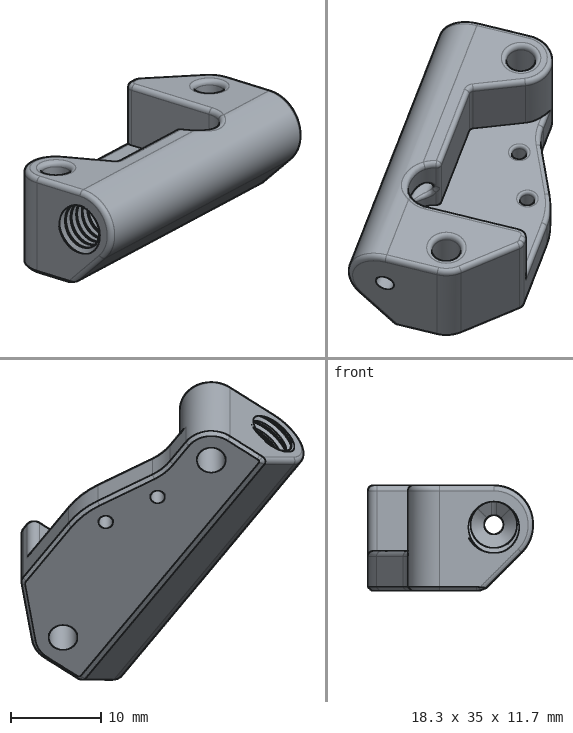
import cadquery as cq
import math

DIAGONAL = math.sqrt(0.5)

LENGTH = 35.0
HEIGHT = 11.7
BARREL_RADIUS = 4.38
BARREL_X = 13.95
BARREL_Z = HEIGHT - BARREL_RADIUS
RIGHT_X = BARREL_X + BARREL_RADIUS
BEVEL_TOP_X = BARREL_X + BARREL_RADIUS * DIAGONAL
BEVEL_TOP_Z = BARREL_Z - BARREL_RADIUS * DIAGONAL
BEVEL_FOOT_X = BEVEL_TOP_X - BEVEL_TOP_Z

EDGE_FILLET = 0.6
BOTTOM_CHAMFER = 0.42

MOUNT_DIAMETER = 3.2
BOSS_RADIUS = 3.5
MOUNT_X = 7.95
FRONT_MOUNT_Y = BOSS_RADIUS
REAR_MOUNT_Y = LENGTH - BOSS_RADIUS
BOSS_LEFT_X = MOUNT_X - BOSS_RADIUS

CORNER_RADIUS = 1.0
CUT_TOP_X = MOUNT_X - BOSS_RADIUS * DIAGONAL
CUT_TOP_Y = REAR_MOUNT_Y + BOSS_RADIUS * DIAGONAL
CUT_FOOT_Y = CUT_TOP_Y - CUT_TOP_X

FLOOR_Z = 4.4
SLANT_ANGLE = math.radians(25)
SLANT_REAR_Y = 17.32
SLANT_FRONT_Y = SLANT_REAR_Y - BOSS_LEFT_X / math.tan(SLANT_ANGLE)
SLANT_REAR_RADIUS = 10.0
SLANT_FRONT_RADIUS = 6.0

POCKET_WALL_X = 12.05
POCKET_CORNER_RADIUS = 0.5
COVE_RADIUS = 2.9
COVE_X = 11.8
COVE_Y = 23.5
COVE_FRONT_Y = COVE_Y - math.sqrt(COVE_RADIUS**2 - (POCKET_WALL_X - COVE_X) ** 2)
POCKET_REAR_Y = COVE_Y + COVE_RADIUS
SLOPE_START_X = MOUNT_X - BOSS_RADIUS * math.sin(SLANT_ANGLE)
SLOPE_START_Y = FRONT_MOUNT_Y + BOSS_RADIUS * math.cos(SLANT_ANGLE)
SLOPE_END_Y = SLOPE_START_Y + (POCKET_WALL_X - SLOPE_START_X) * math.tan(SLANT_ANGLE)

SCREW_DIAMETER = 1.6
SCREW_FILLET = 0.4
REAR_SCREW_X = 3.1
REAR_SCREW_Y = 16.75
SCREW_SPACING = 6.58
FRONT_SCREW_X = REAR_SCREW_X + SCREW_SPACING * math.sin(SLANT_ANGLE)
FRONT_SCREW_Y = REAR_SCREW_Y - SCREW_SPACING * math.cos(SLANT_ANGLE)

BORE_DIAMETER = 2.1
BREAKOUT_FILLET = 0.42
THREAD_MINOR_RADIUS = 5.15 / 2
THREAD_MAJOR_RADIUS = 6.25 / 2
THREAD_PITCH = 1.0
THREAD_DEPTH = 7.0
THREAD_START_ANGLE = 90
ROOF_RIDGE_RADIUS = 0.6
ROOF_END_SCALE = 0.3

SLACK = 0.07


def edge_box(low, high, whole=False):
    """Pick edges centred in a box, or with whole=True those lying wholly inside it."""
    low = tuple(value - SLACK for value in low)
    high = tuple(value + SLACK for value in high)
    return cq.selectors.BoxSelector(low, high, boundingbox=whole)


def round_upright(solid, x, y, radius):
    """Round the upright edge that stands at (x, y)."""
    return solid.edges("|Z").edges(edge_box((x, y, 0), (x, y, HEIGHT))).fillet(radius)


def barrel_profile():
    """Cross section of the block, run along its full length."""
    return (
        cq.Workplane("XZ")
        .lineTo(BEVEL_FOOT_X, 0)
        .lineTo(BEVEL_TOP_X, BEVEL_TOP_Z)
        .threePointArc((RIGHT_X, BARREL_Z), (BARREL_X, HEIGHT))
        .lineTo(0, HEIGHT)
        .close()
        .extrude(-LENGTH)
    )


def close_around_rear(outline):
    """Take an outline from the left edge past the rear corner and right side to its start."""
    middle = math.radians(22.5)
    arc_middle = (
        MOUNT_X - BOSS_RADIUS * math.sin(middle),
        REAR_MOUNT_Y + BOSS_RADIUS * math.cos(middle),
    )
    return (
        outline.lineTo(0, CUT_FOOT_Y)
        .lineTo(CUT_TOP_X, CUT_TOP_Y)
        .threePointArc(arc_middle, (MOUNT_X, LENGTH))
        .lineTo(RIGHT_X, LENGTH)
        .lineTo(RIGHT_X, 0)
        .close()
    )


def floor_plate():
    """Low plate under the whole part, rounded along its upper left edge."""
    outline = (
        cq.Workplane("XY")
        .moveTo(MOUNT_X, 0)
        .threePointArc((CUT_TOP_X, FRONT_MOUNT_Y - BOSS_RADIUS * DIAGONAL), (BOSS_LEFT_X, FRONT_MOUNT_Y))
        .lineTo(BOSS_LEFT_X, SLANT_FRONT_Y)
        .lineTo(0, SLANT_REAR_Y)
    )
    plate = close_around_rear(outline).extrude(FLOOR_Z)
    plate = round_upright(plate, 0, SLANT_REAR_Y, SLANT_REAR_RADIUS)
    plate = round_upright(plate, BOSS_LEFT_X, SLANT_FRONT_Y, SLANT_FRONT_RADIUS)
    plate = round_upright(plate, 0, CUT_FOOT_Y, CORNER_RADIUS)
    left_rim = edge_box((0, FRONT_MOUNT_Y, FLOOR_Z), (BOSS_LEFT_X, POCKET_REAR_Y, FLOOR_Z))
    return plate.edges(left_rim).fillet(EDGE_FILLET)


def pocket_walls():
    """Full-height block that wraps around the pocket."""
    outline = (
        cq.Workplane("XY")
        .moveTo(MOUNT_X, 0)
        .threePointArc((BOSS_LEFT_X, FRONT_MOUNT_Y), (SLOPE_START_X, SLOPE_START_Y))
        .lineTo(POCKET_WALL_X, SLOPE_END_Y)
        .lineTo(POCKET_WALL_X, COVE_FRONT_Y)
        .threePointArc((COVE_X + COVE_RADIUS, COVE_Y), (COVE_X, POCKET_REAR_Y))
        .lineTo(0, POCKET_REAR_Y)
    )
    walls = close_around_rear(outline).extrude(HEIGHT)
    walls = round_upright(walls, POCKET_WALL_X, SLOPE_END_Y, POCKET_CORNER_RADIUS)
    walls = round_upright(walls, POCKET_WALL_X, COVE_FRONT_Y, EDGE_FILLET)
    walls = round_upright(walls, 0, POCKET_REAR_Y, CORNER_RADIUS)
    return round_upright(walls, 0, CUT_FOOT_Y, CORNER_RADIUS)


def body():
    """Plate and walls joined, rounded along the top and both ends, chamfered underneath."""
    profile = barrel_profile()
    block = pocket_walls().intersect(profile).union(floor_plate().intersect(profile)).clean()

    top = edge_box((0, 0, HEIGHT), (RIGHT_X, LENGTH, HEIGHT))
    cove_rim = edge_box((BARREL_X, COVE_Y, HEIGHT - 0.35), (RIGHT_X, COVE_Y, HEIGHT))
    barrel_seam = edge_box((BARREL_X, 0, HEIGHT), (BARREL_X, LENGTH, HEIGHT), whole=True)
    block = block.edges(top + cove_rim - barrel_seam).fillet(EDGE_FILLET)

    bottom = edge_box((0, 0, 0), (BEVEL_FOOT_X - 0.35, LENGTH, 0))
    return block.edges(bottom).chamfer(BOTTOM_CHAMFER)


def drill(block, centers, diameter, mouth_z, mouth_fillet):
    """Upright through holes with mouths rounded over at height mouth_z."""
    block = block.cut(cq.Workplane("XY").pushPoints(centers).circle(diameter / 2).extrude(HEIGHT))
    for x, y in centers:
        mouth = edge_box((x, y, mouth_z), (x, y, mouth_z))
        block = block.edges("%CIRCLE").edges(mouth).fillet(mouth_fillet)
    return block


def bore_plane(y):
    """Work plane square to the bore, centred on it at y and facing the rear; its y axis points down."""
    return cq.Workplane(cq.Plane((BARREL_X, y, BARREL_Z), (1, 0, 0), (0, 1, 0)))


def cut_bore(block):
    """Bore along the whole barrel; where it breaks into the cove its edge is rounded."""
    block = block.cut(bore_plane(0).circle(BORE_DIAMETER / 2).extrude(LENGTH))
    breakout = edge_box(
        (BARREL_X - BORE_DIAMETER / 2, COVE_Y - COVE_RADIUS, BARREL_Z - BORE_DIAMETER / 2),
        (BARREL_X + BORE_DIAMETER / 2, COVE_Y + COVE_RADIUS, BARREL_Z + BORE_DIAMETER / 2),
        whole=True,
    )
    return block.edges(breakout).fillet(BREAKOUT_FILLET)


def thread_groove():
    """Helical groove with 1/8 pitch root and 1/4 pitch crest, starting one pitch in front of the face."""
    half_root = THREAD_PITCH / 16
    half_mouth = THREAD_PITCH * 3 / 8
    flank = (half_mouth - half_root) / (THREAD_MAJOR_RADIUS - THREAD_MINOR_RADIUS)
    overlap = 0.1
    inner_radius = THREAD_MINOR_RADIUS - overlap
    half_base = half_mouth + overlap * flank
    helix = cq.Wire.makeHelix(THREAD_PITCH, THREAD_DEPTH, THREAD_MINOR_RADIUS)
    groove = (
        cq.Workplane("XZ")
        .moveTo(inner_radius, -half_base)
        .lineTo(THREAD_MAJOR_RADIUS, -half_root)
        .lineTo(THREAD_MAJOR_RADIUS, half_root)
        .lineTo(inner_radius, half_base)
        .close()
        .sweep(cq.Workplane(helix), isFrenet=True)
        .rotate((0, 0, 0), (0, 0, 1), THREAD_START_ANGLE)
    )
    return groove.val().moved(bore_plane(-THREAD_PITCH).plane.location)


def add_kite(plane, side):
    """Square of the given side, standing on one corner at the bore axis and pointing up."""
    reach = side * DIAGONAL
    return plane.lineTo(reach, -reach).lineTo(0, -2 * reach).lineTo(-reach, -reach).close()


def cone_end():
    """45 degree cone from the tapped hole to the bore, under a gable roof with a rounded ridge."""
    radius = THREAD_MINOR_RADIUS
    axis_start = cq.Vector(BARREL_X, THREAD_DEPTH, BARREL_Z)
    cone = cq.Workplane(cq.Solid.makeCone(radius, 0, radius, axis_start, cq.Vector(0, 1, 0)))

    roof_length = radius * (1 - ROOF_END_SCALE)
    roof = add_kite(bore_plane(THREAD_DEPTH), radius)
    roof = add_kite(roof.workplane(offset=roof_length), radius * ROOF_END_SCALE).loft(ruled=True)
    ridge = cq.selectors.NearestToPointSelector((BARREL_X, THREAD_DEPTH + roof_length / 2, BARREL_Z + radius))
    roof = roof.edges(ridge).fillet(ROOF_RIDGE_RADIUS)

    return cone.union(roof).intersect(bore_plane(THREAD_DEPTH).circle(radius).extrude(radius))


def cut_thread(block):
    """Tapped hole at the front end of the bore."""
    block = block.cut(bore_plane(0).circle(THREAD_MINOR_RADIUS).extrude(THREAD_DEPTH))
    block = block.cut(cq.Workplane(thread_groove()))
    return block.cut(cone_end())


mount_centers = [(MOUNT_X, FRONT_MOUNT_Y), (MOUNT_X, REAR_MOUNT_Y)]
screw_centers = [(REAR_SCREW_X, REAR_SCREW_Y), (FRONT_SCREW_X, FRONT_SCREW_Y)]

result = body()
result = drill(result, mount_centers, MOUNT_DIAMETER, HEIGHT, EDGE_FILLET)
result = drill(result, screw_centers, SCREW_DIAMETER, FLOOR_Z, SCREW_FILLET)
result = cut_bore(result)
result = cut_thread(result)